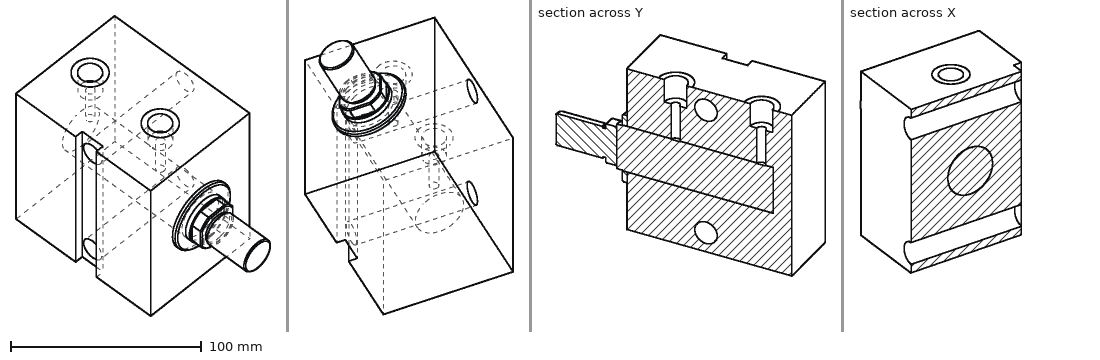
import cadquery as cq

OVERALL_LENGTH = 140.0

HOUSING_LENGTH = 98.0
HOUSING_DEPTH = 75.0
HOUSING_HEIGHT = 100.0

SLOT_CENTER_X = 51.0
SLOT_WIDTH = 15.0
SLOT_DEPTH = 5.0
BOLT_HOLE_DIAMETER = 13.0
BOLT_HOLE_SPACING = 76.0

PORT_POSITIONS_X = (18.0, 69.0)
SPOTFACE_DIAMETER = 20.0
SPOTFACE_DEPTH = 0.1
PORT_DIAMETER = 13.2
PORT_DEPTH = 14.0
DUCT_DIAMETER = 5.0

GLAND_DIAMETER = 42.0
GLAND_THICKNESS = 2.8
GLAND_CHAMFER = 1.0

ROD_DIAMETER = 28.0
ROD_START_X = 11.2
ROD_END_X = HOUSING_LENGTH + 6.0
ROD_CHAMFER = 0.4

HEAD_DIAMETER = ROD_DIAMETER - 2 * ROD_CHAMFER
HEAD_LENGTH = 6.6
HEAD_ACROSS_FLATS = 24.4
HEAD_CHAMFER = 0.7
NECK_DIAMETER = 18.2
NECK_LENGTH = 1.4
THREAD_DIAMETER = 20.0
THREAD_LEAD_LENGTH = 0.4
THREAD_CHAMFER = 0.7


def cylinder_x(diameter, start, end):
    """Cylinder about the X axis between two positions along X."""
    plane = cq.Plane(origin=(start, 0, 0), xDir=(0, 0, 1), normal=(1, 0, 0))
    return cq.Workplane(plane).circle(diameter / 2).extrude(end - start)


def cylinder_z(diameter, x, bottom, top):
    """Vertical cylinder at a position along X."""
    return cq.Workplane("XY", origin=(x, 0, bottom)).circle(diameter / 2).extrude(top - bottom)


def port_cut(x):
    """Spotface, port and duct as one cutter; the duct runs down to the rod axis to open into the rod bore."""
    top = HOUSING_HEIGHT / 2
    spotface = cylinder_z(SPOTFACE_DIAMETER, x, top - SPOTFACE_DEPTH, top)
    port = cylinder_z(PORT_DIAMETER, x, top - PORT_DEPTH, top)
    duct = cylinder_z(DUCT_DIAMETER, x, 0, top)
    return spotface.union(port).union(duct)


def make_housing():
    housing = cq.Workplane("XY").box(
        HOUSING_LENGTH, HOUSING_DEPTH, HOUSING_HEIGHT, centered=(False, True, True)
    )
    slot = cq.Workplane("XY").box(SLOT_WIDTH, 2 * SLOT_DEPTH, HOUSING_HEIGHT)
    housing = housing.cut(slot.translate((SLOT_CENTER_X, -HOUSING_DEPTH / 2, 0)))
    bolt_holes = (
        cq.Workplane("XZ", origin=(SLOT_CENTER_X, 0, 0))
        .rarray(1.4, BOLT_HOLE_SPACING, 1, 2)
        .circle(BOLT_HOLE_DIAMETER / 2)
        .extrude(HOUSING_DEPTH / 2, both=True)
    )
    housing = housing.cut(bolt_holes)
    for x in PORT_POSITIONS_X:
        housing = housing.cut(port_cut(x))
    return housing.cut(cylinder_x(ROD_DIAMETER, ROD_START_X, HOUSING_LENGTH))


def make_gland():
    gland = cylinder_x(GLAND_DIAMETER, HOUSING_LENGTH, HOUSING_LENGTH + GLAND_THICKNESS)
    gland = gland.faces(">X").chamfer(GLAND_CHAMFER)
    return gland.cut(cylinder_x(ROD_DIAMETER, HOUSING_LENGTH, OVERALL_LENGTH))


def make_rod():
    return cylinder_x(ROD_DIAMETER, ROD_START_X, ROD_END_X).faces(">X").chamfer(ROD_CHAMFER)


def stud_head():
    head = cylinder_x(HEAD_DIAMETER, ROD_END_X, ROD_END_X + HEAD_LENGTH)
    square_bar = cq.Workplane("YZ", origin=(ROD_END_X, 0, 0)).rect(HEAD_ACROSS_FLATS, HEAD_ACROSS_FLATS)
    return head.intersect(square_bar.extrude(HEAD_LENGTH)).faces(">X").chamfer(HEAD_CHAMFER)


def stud_shank():
    """Turned neck and thread cylinder, tapered up from the neck and chamfered at the end."""
    neck_radius = NECK_DIAMETER / 2
    thread_radius = THREAD_DIAMETER / 2
    neck_x = ROD_END_X + HEAD_LENGTH
    thread_x = neck_x + NECK_LENGTH
    return (
        cq.Workplane("XZ")
        .moveTo(neck_x, 0)
        .lineTo(neck_x, neck_radius)
        .lineTo(thread_x, neck_radius)
        .lineTo(thread_x + THREAD_LEAD_LENGTH, thread_radius)
        .lineTo(OVERALL_LENGTH - THREAD_CHAMFER, thread_radius)
        .lineTo(OVERALL_LENGTH, thread_radius - THREAD_CHAMFER)
        .lineTo(OVERALL_LENGTH, 0)
        .close()
        .revolve(360, (0, 0, 0), (1, 0, 0))
    )


def make_stud():
    return stud_head().union(stud_shank())


housing = make_housing()
gland = make_gland()
rod = make_rod()
stud = make_stud()
result = cq.Compound.makeCompound([housing.val(), gland.val(), rod.val(), stud.val()])